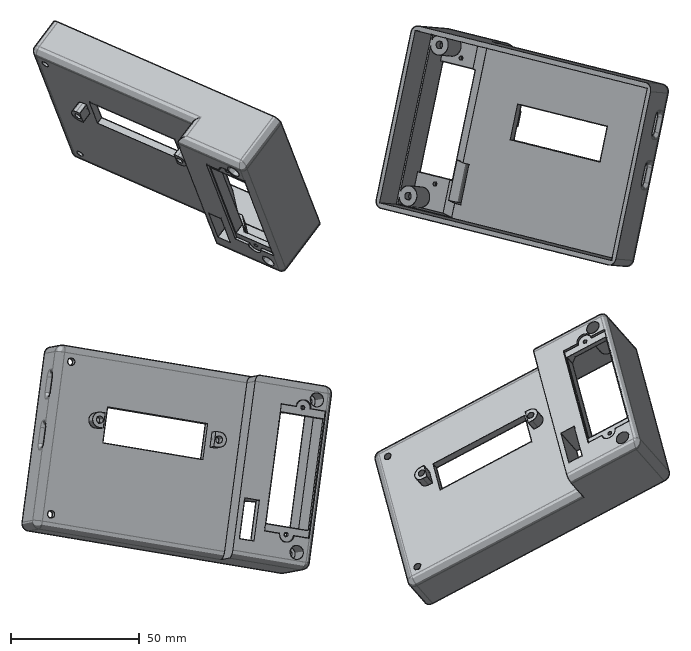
import cadquery as cq

LEAN = 22
WIDTH = 110.5
HEIGHT = 72.4
DEPTH = 25.9

STEP_X = 78.3
STEP_DEPTH = 10
MAIN_DEPTH = DEPTH - STEP_DEPTH
EDGE_RADIUS = 3.0
RIGHT_EDGE_RADIUS = 1.9

SIDE_WALL = 1.8
END_WALL = 2.0
FRONT_WALL = 3.0
RAISED_SIDE_WALL = 2.4
RAISED_BOTTOM_WALL = 2.2
CAVITY_DEPTH = MAIN_DEPTH - FRONT_WALL
RAISED_CAVITY_DEPTH = DEPTH - FRONT_WALL
SLOPE_X = 83.2

SCREW_INSET = 6.2
SCREW_DIAMETER = 2.9
SCREW_HEAD_DIAMETER = 5.4
SCREW_BOSS_DIAMETER = 8.0

DISPLAY_X = 44.0
DISPLAY_Y = 44.1
DISPLAY_WIDTH = 41.3
DISPLAY_HEIGHT = 14.1
PEG_SPACING = 49.3
PEG_Y = 45.2
PEG_RADIUS = 3.0
PEG_FLAT = 1.8
PEG_LENGTH = 4.6
PEG_HOLE_DIAMETER = 2.8
PEG_HOLE_DEPTH = 4.4

MODULE_Y = 37.5
MODULE_LEFT = 90.6
MODULE_RIGHT = WIDTH - RAISED_SIDE_WALL
MODULE_HEIGHT = 44.0
SEAT_LEFT = 90.2
SEAT_RIGHT = WIDTH - RIGHT_EDGE_RADIUS
SEAT_HEIGHT = 50.0
SEAT_DEPTH = 1.0
EAR_RADIUS = 3.0
EAR_HOLE_DIAMETER = 1.5

SWITCH_LEFT = 80.4
SWITCH_WIDTH = 6.0
SWITCH_BOTTOM = 7.8
SWITCH_LENGTH = 16.0
LIP_RADIUS = 2.5
LIP_DEPTH = 22.1
LIP_EDGE_X = 90.5

PORT_HEIGHTS = (36.7, 56.7)
PORT_DEPTH = 10.5
PORT_LENGTH = 8.8
PORT_WIDTH = 3.5
PORT_CORNER = 1.3
PORT_FLARE = 1.4


def block(x, y, z):
    """Box spanning the given (low, high) ranges."""
    size = [high - low for low, high in (x, y, z)]
    return cq.Workplane("XY").box(*size, centered=False).translate((x[0], y[0], z[0]))


def rod(x, y, z, diameter):
    """Cylinder along z over the given (low, high) range."""
    return cq.Workplane("XY", origin=(x, y, z[0])).circle(diameter / 2).extrude(z[1] - z[0])


def near(x, y, z):
    return cq.selectors.NearestToPointSelector((x, y, z))


def outer_body():
    body = (
        cq.Workplane("XZ")
        .polyline([(0, 0), (WIDTH, 0), (WIDTH, DEPTH), (STEP_X, DEPTH), (STEP_X, MAIN_DEPTH), (0, MAIN_DEPTH)])
        .close()
        .extrude(-HEIGHT)
    )
    body = body.edges(near(WIDTH, HEIGHT / 2, DEPTH)).fillet(RIGHT_EDGE_RADIUS)
    raised_x = (STEP_X + WIDTH) / 2
    edges = body.edges(near(0, HEIGHT / 2, MAIN_DEPTH))
    for y in (0, HEIGHT):
        edges = edges.add(body.edges(near(0, y, MAIN_DEPTH / 2)))
        edges = edges.add(body.edges(near(WIDTH, y, DEPTH / 2)))
        edges = edges.add(body.edges(near(STEP_X / 2, y, MAIN_DEPTH)))
        edges = edges.add(body.edges(near(raised_x, y, DEPTH)))
    edges = edges.add(body.edges(near(STEP_X, HEIGHT, MAIN_DEPTH + STEP_DEPTH / 2)))
    return edges.fillet(EDGE_RADIUS)


def cavity():
    top = HEIGHT - END_WALL
    main = block((SIDE_WALL, WIDTH - SIDE_WALL), (END_WALL, top), (0, CAVITY_DEPTH))
    right = WIDTH - RAISED_SIDE_WALL
    raised = (
        cq.Workplane("XZ", origin=(0, RAISED_BOTTOM_WALL, 0))
        .moveTo(SLOPE_X, CAVITY_DEPTH)
        .lineTo(SLOPE_X + STEP_DEPTH, RAISED_CAVITY_DEPTH)
        .lineTo(right, RAISED_CAVITY_DEPTH)
        .lineTo(right, CAVITY_DEPTH)
        .close()
        .extrude(RAISED_BOTTOM_WALL - top)
    )
    return main.union(raised)


def add_screws(body):
    right = WIDTH - SCREW_INSET
    for y in (SCREW_INSET, HEIGHT - SCREW_INSET):
        body = body.union(rod(right, y, (CAVITY_DEPTH, RAISED_CAVITY_DEPTH), SCREW_BOSS_DIAMETER))
        body = body.cut(rod(right, y, (MAIN_DEPTH, DEPTH), SCREW_HEAD_DIAMETER))
        for x in (SCREW_INSET, right):
            body = body.cut(rod(x, y, (CAVITY_DEPTH, MAIN_DEPTH), SCREW_DIAMETER))
    return body


def add_display(body):
    half_width = DISPLAY_WIDTH / 2
    half_height = DISPLAY_HEIGHT / 2
    body = body.cut(block(
        (DISPLAY_X - half_width, DISPLAY_X + half_width),
        (DISPLAY_Y - half_height, DISPLAY_Y + half_height),
        (CAVITY_DEPTH, MAIN_DEPTH),
    ))
    tip = MAIN_DEPTH + PEG_LENGTH
    for inward in (1, -1):
        x = DISPLAY_X - inward * PEG_SPACING / 2
        flat_x = x + inward * PEG_FLAT
        peg = (
            cq.Workplane("XY", origin=(0, 0, MAIN_DEPTH))
            .moveTo(flat_x, PEG_Y - PEG_RADIUS)
            .lineTo(x, PEG_Y - PEG_RADIUS)
            .threePointArc((x - inward * PEG_RADIUS, PEG_Y), (x, PEG_Y + PEG_RADIUS))
            .lineTo(flat_x, PEG_Y + PEG_RADIUS)
            .close()
            .extrude(PEG_LENGTH)
        )
        body = body.union(peg).cut(rod(x, PEG_Y, (tip - PEG_HOLE_DEPTH, tip), PEG_HOLE_DIAMETER))
    return body


def cut_switch(body):
    x = (SWITCH_LEFT, SWITCH_LEFT + SWITCH_WIDTH)
    y = (SWITCH_BOTTOM, SWITCH_BOTTOM + SWITCH_LENGTH)
    lip = (
        cq.Workplane("XZ", origin=(x[1] + LIP_RADIUS, y[0], LIP_DEPTH))
        .circle(LIP_RADIUS)
        .extrude(-SWITCH_LENGTH)
    )
    clearance = block((SWITCH_LEFT, LIP_EDGE_X), y, (CAVITY_DEPTH, LIP_DEPTH)).cut(lip)
    return body.cut(clearance).cut(block(x, y, (CAVITY_DEPTH, DEPTH)))


def cut_module(body):
    half = MODULE_HEIGHT / 2
    seat_floor = DEPTH - SEAT_DEPTH
    opening = block((MODULE_LEFT, MODULE_RIGHT), (MODULE_Y - half, MODULE_Y + half), (CAVITY_DEPTH, DEPTH))
    seat_half = SEAT_HEIGHT / 2
    seat_y = (MODULE_Y - seat_half, MODULE_Y + seat_half)
    body = body.cut(opening).cut(block((SEAT_LEFT, SEAT_RIGHT), seat_y, (seat_floor, DEPTH)))
    x = (SEAT_LEFT + SEAT_RIGHT) / 2
    for y in seat_y:
        body = body.cut(rod(x, y, (seat_floor, DEPTH), 2 * EAR_RADIUS))
        body = body.cut(rod(x, y, (RAISED_CAVITY_DEPTH, DEPTH), EAR_HOLE_DIAMETER))
    return body


def port_cutter():
    """Rounded rectangular hole through the side wall whose outer rim is rounded over."""
    def wall_prism(length, width):
        return cq.Workplane("YZ").rect(length, width).extrude(SIDE_WALL)

    slab = wall_prism(PORT_LENGTH + 4 * PORT_FLARE, PORT_WIDTH + 4 * PORT_FLARE)
    hole = wall_prism(PORT_LENGTH, PORT_WIDTH).edges("|X").fillet(PORT_CORNER)
    corner = cq.Vector(PORT_FLARE, PORT_LENGTH / 2 + PORT_FLARE, PORT_WIDTH / 2 + PORT_FLARE)
    rim = cq.selectors.BoxSelector(corner.toTuple(), (-corner).toTuple())
    return slab.cut(slab.cut(hole).faces("<X").edges(rim).fillet(PORT_FLARE))


def cut_ports(body):
    for y in PORT_HEIGHTS:
        body = body.cut(port_cutter().translate((0, y, PORT_DEPTH)))
    return body


case = outer_body().cut(cavity())
case = add_screws(case)
case = add_display(case)
case = cut_switch(case)
case = cut_module(case)
case = cut_ports(case)

result = case.rotate((0, 0, 0), (1, 0, 0), 90 + LEAN)